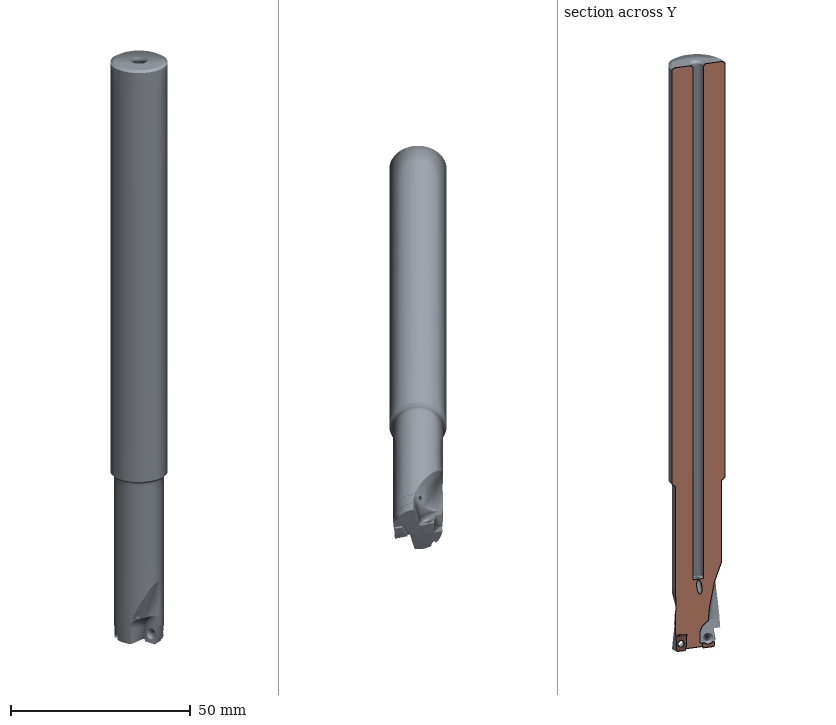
import cadquery as cq
import math

LENGTH = 173.8
SHANK_RADIUS = 8.0
SHANK_BOTTOM = 50.0
TOP_CHAMFER_WIDTH = 0.9
TOP_CHAMFER_HEIGHT = 0.5
SHOULDER_WIDTH = 0.99
SHOULDER_HEIGHT = 0.9
RELIEF_TOP = 7.8
RELIEF_STEP = 0.09
NOSE_TOP = 3.6
NOSE_STEP = 0.09
HOLDER_BOTTOM = 0.5
NECK_RADIUS = SHANK_RADIUS - SHOULDER_WIDTH
RELIEF_RADIUS = NECK_RADIUS - RELIEF_STEP
NOSE_RADIUS = RELIEF_RADIUS - NOSE_STEP

BORE_RADIUS = 1.7
BORE_MOUTH_RADIUS = 2.5
BORE_MOUTH_DEPTH = BORE_MOUTH_RADIUS - BORE_RADIUS
BORE_BOTTOM = 20.9
BRANCH_RADIUS = 0.7
BRANCH_EXIT = (-1.5, 4.7, 8.0)

STATION_OFFSET = 2.0
AXIAL_RAKE = 13.0

FLUTE_TOP = 27.0
FLUTE_BOTTOM = 7.6
FLUTE_TOP_CORNER = (-6.0, -4.9)
FLUTE_BOTTOM_CORNER = (-3.3, -0.5)
FLUTE_TOP_TURN = 16.0
FLUTE_BOTTOM_TURN = -20.0
FLUTE_CORNER_SETBACK = 2.8
CUTTER_SIZE = 13.9

GULLET_TOP = 7.8
GULLET_FLOOR_X = -0.5
GULLET_WALL_Y = -0.5
GULLET_RADIUS = 3.8

INSERT_OUTER_X = -4.9
INSERT_WIDTH = 3.6
INSERT_HEIGHT = 5.2
INSERT_THICKNESS = 3.3
INSERT_CLEARANCE = 12.0
INSERT_CENTRE_Z = 2.6
SCREW_RADIUS = 0.9
SCREW_HEAD_RADIUS = 1.5
SCREW_LENGTH = 13.9

RAKE_SLOPE = math.tan(math.radians(AXIAL_RAKE))
INSERT_CENTRE_X = INSERT_OUTER_X + INSERT_WIDTH / 2
RAKE_FACE_Y = GULLET_WALL_Y + (GULLET_TOP - INSERT_CENTRE_Z) * RAKE_SLOPE

ORIGIN = (0, 0, 0)
X_AXIS = (1, 0, 0)
Z_AXIS = (0, 0, 1)


def revolved(outline):
    """Turn a (radius, height) outline about Z, with the seam on the -X side."""
    profile = [(-radius, height) for radius, height in outline]
    return cq.Workplane("XZ").polyline(profile).close().revolve(360, (0, 0, 0), (0, 1, 0))


def turned_holder():
    return revolved([
        (0, HOLDER_BOTTOM),
        (NOSE_RADIUS, HOLDER_BOTTOM),
        (NOSE_RADIUS, NOSE_TOP),
        (RELIEF_RADIUS, NOSE_TOP),
        (RELIEF_RADIUS, RELIEF_TOP),
        (NECK_RADIUS, RELIEF_TOP),
        (NECK_RADIUS, SHANK_BOTTOM - SHOULDER_HEIGHT),
        (SHANK_RADIUS, SHANK_BOTTOM),
        (SHANK_RADIUS, LENGTH - TOP_CHAMFER_HEIGHT),
        (SHANK_RADIUS - TOP_CHAMFER_WIDTH, LENGTH),
        (0, LENGTH),
    ])


def coolant_bore():
    return revolved([
        (0, BORE_BOTTOM),
        (BORE_RADIUS, BORE_BOTTOM),
        (BORE_RADIUS, LENGTH - BORE_MOUTH_DEPTH),
        (BORE_MOUTH_RADIUS, LENGTH),
        (0, LENGTH),
    ])


def coolant_branch(offset):
    """Slanted hole from the bottom of the bore to the flute floor."""
    start = cq.Vector(0, 0, BORE_BOTTOM)
    run = cq.Vector(*BRANCH_EXIT) - cq.Vector(offset, 0, 0) - start
    return cq.Workplane(cq.Solid.makeCylinder(BRANCH_RADIUS, run.Length, start, run))


def flute_section(corner, turn, height, offset):
    """Outline at one height: wall along X, rounded corner, floor at an angle to Y."""
    corner_x = corner[0] - offset
    corner_y = corner[1]
    floor_dx = -math.sin(math.radians(turn))
    floor_dy = math.cos(math.radians(turn))
    wall_start = (corner_x - FLUTE_CORNER_SETBACK, corner_y)
    floor_start = (corner_x + FLUTE_CORNER_SETBACK * floor_dx, corner_y + FLUTE_CORNER_SETBACK * floor_dy)
    floor_end = (corner_x + CUTTER_SIZE * floor_dx, corner_y + CUTTER_SIZE * floor_dy)
    outer_x = corner_x - CUTTER_SIZE
    outline = (
        cq.Workplane("XY", origin=(0, 0, height))
        .moveTo(outer_x, corner_y)
        .lineTo(*wall_start)
        .tangentArcPoint(floor_start, relative=False)
        .lineTo(*floor_end)
        .lineTo(outer_x, floor_end[1])
        .close()
    )
    return outline.val()


def flute_cutter(offset):
    sections = [
        flute_section(FLUTE_BOTTOM_CORNER, FLUTE_BOTTOM_TURN, FLUTE_BOTTOM, offset),
        flute_section(FLUTE_TOP_CORNER, FLUTE_TOP_TURN, FLUTE_TOP, offset),
    ]
    return cq.Workplane(cq.Solid.makeLoft(sections, True))


def gullet_cutter(offset):
    """Flat floor that curves outward at its top, with a wall that leans with the rake."""
    floor_x = GULLET_FLOOR_X - offset
    outer_x = floor_x - CUTTER_SIZE
    arc_x = floor_x - GULLET_RADIUS
    diagonal = GULLET_RADIUS * math.sqrt(0.5)
    block = (
        cq.Workplane("XZ")
        .moveTo(floor_x, -CUTTER_SIZE)
        .lineTo(floor_x, -GULLET_RADIUS)
        .threePointArc((arc_x + diagonal, diagonal - GULLET_RADIUS), (arc_x, 0))
        .lineTo(outer_x, 0)
        .lineTo(outer_x, -CUTTER_SIZE)
        .close()
        .extrude(-CUTTER_SIZE)
    )
    return block.rotate(ORIGIN, X_AXIS, AXIAL_RAKE).translate((0, GULLET_WALL_Y, GULLET_TOP))


def place_at_insert(shape, offset):
    """Move a shape built around the centre of a rake face facing +Y to the insert."""
    leaned = shape.rotate(ORIGIN, X_AXIS, AXIAL_RAKE)
    return leaned.translate((INSERT_CENTRE_X - offset, RAKE_FACE_Y, INSERT_CENTRE_Z))


def insert_blank(offset):
    blank = (
        cq.Workplane("XZ")
        .rect(INSERT_WIDTH, INSERT_HEIGHT)
        .extrude(INSERT_THICKNESS, taper=INSERT_CLEARANCE)
    )
    return place_at_insert(blank, offset)


def flank_clearance(offset):
    """Open space outward of the insert and below it, as deep as the insert is thick."""
    clearance = (
        cq.Workplane("XZ")
        .moveTo(-CUTTER_SIZE, INSERT_HEIGHT / 2)
        .lineTo(0, INSERT_HEIGHT / 2)
        .lineTo(0, -CUTTER_SIZE)
        .lineTo(-CUTTER_SIZE, -CUTTER_SIZE)
        .close()
        .extrude(INSERT_THICKNESS)
    )
    return place_at_insert(clearance, offset)


def screw_hole(offset):
    """Straight hole with a conical seat at the rake face."""
    seat_depth = SCREW_HEAD_RADIUS - SCREW_RADIUS
    outline = [
        (0, 0),
        (SCREW_HEAD_RADIUS, 0),
        (SCREW_RADIUS, -seat_depth),
        (SCREW_RADIUS, -SCREW_LENGTH),
        (0, -SCREW_LENGTH),
    ]
    hole = cq.Workplane("XY").polyline(outline).close().revolve(360, (0, 0, 0), (0, 1, 0))
    return place_at_insert(hole, offset)


def make_insert(turn, offset):
    return insert_blank(offset).cut(screw_hole(offset)).rotate(ORIGIN, Z_AXIS, turn)


STATIONS = [(0, 0), (180, STATION_OFFSET)]
STATION_CUTTERS = [flute_cutter, gullet_cutter, coolant_branch, insert_blank, flank_clearance, screw_hole]

holder = turned_holder().cut(coolant_bore())
for turn, offset in STATIONS:
    for cutter in STATION_CUTTERS:
        holder = holder.cut(cutter(offset).rotate(ORIGIN, Z_AXIS, turn))

inserts = [make_insert(turn, offset) for turn, offset in STATIONS]

result = cq.Compound.makeCompound([holder.val(), *[insert.val() for insert in inserts]])